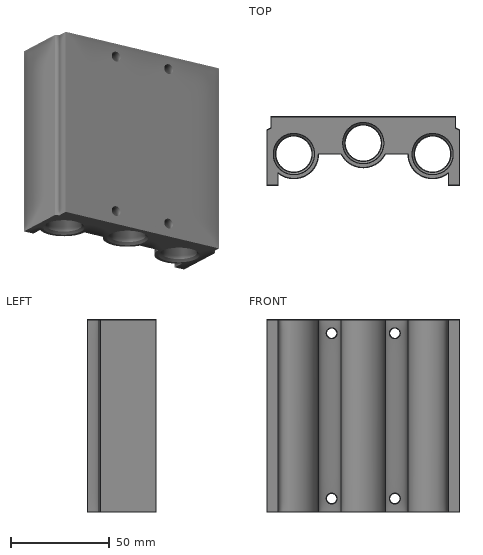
import cadquery as cq

width = 98.0
depth = 35.0
height = 98.0

back_inset = 2.1
shoulder_inner_y = -5.9
shoulder_outer_y = -6.8
leg_width = 5.7
web_y = -19.1

tube_radius = 12.5
bore_radius = 9.2
mouth_radius = 10.5
mouth_depth = mouth_radius - bore_radius
side_tube_x = 35.3
middle_tube_y = -13.5
tube_centers = [(-side_tube_x, web_y), (0, middle_tube_y), (side_tube_x, web_y)]

hole_diameter = 5.3
hole_spacing_x = 32.1
hole_spacing_z = 84.1


def make_body():
    """Extrude the back plate with its shoulders and two front legs."""
    half = width / 2
    back_half = half - back_inset
    leg_inner = half - leg_width
    right_side = [
        (back_half, 0),
        (back_half, shoulder_inner_y),
        (half, shoulder_outer_y),
        (half, -depth),
        (leg_inner, -depth),
        (leg_inner, web_y),
    ]
    left_side = [(-x, y) for x, y in reversed(right_side)]
    return cq.Workplane("XY").polyline(right_side + left_side).close().extrude(height)


def make_bore(center):
    """Straight through bore with a conical mouth at each end."""
    x, y = center
    mouth_profile = [
        (0, 0),
        (mouth_radius, 0),
        (bore_radius, mouth_depth),
        (bore_radius, height - mouth_depth),
        (mouth_radius, height),
        (0, height),
    ]
    bore = cq.Workplane("XZ").polyline(mouth_profile).close().revolve(360, (0, 0), (0, 1))
    return bore.translate((x, y, 0))


def make_mounting_holes():
    """Four holes running through the webs along Y."""
    return (
        cq.Workplane("XZ", origin=(0, 0, height / 2))
        .rarray(hole_spacing_x, hole_spacing_z, 2, 2)
        .circle(hole_diameter / 2)
        .extrude(depth)
    )


tubes = cq.Workplane("XY").pushPoints(tube_centers).circle(tube_radius).extrude(height)
result = make_body().union(tubes)
for tube_center in tube_centers:
    result = result.cut(make_bore(tube_center))
result = result.cut(make_mounting_holes())